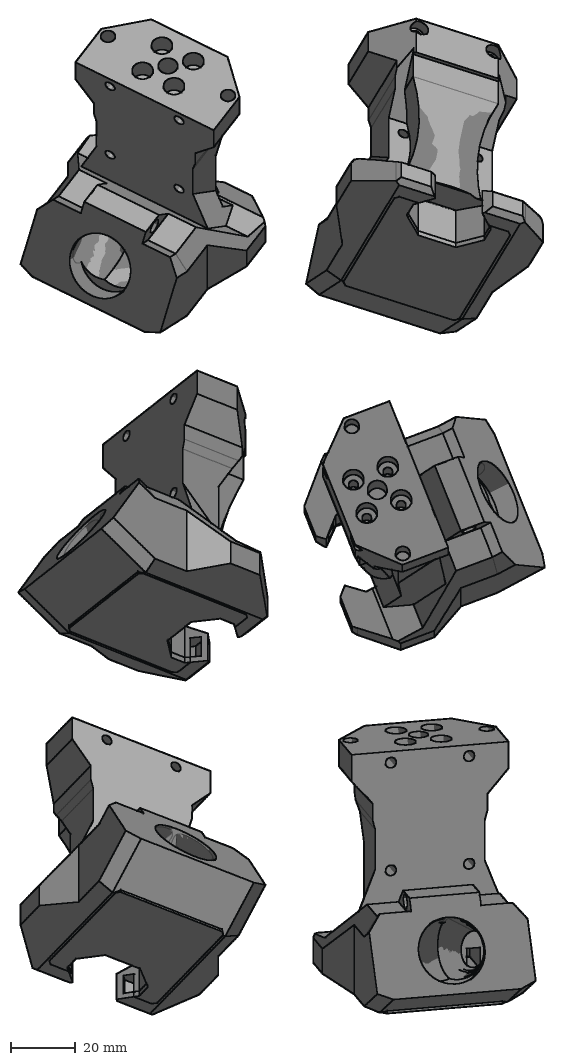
import cadquery as cq
import math

FAR = 158.7

TOTAL_HEIGHT = 79.35
COLUMN_DEPTH = 26.5
HEAD_HALF = 25.15
HEAD_BOTTOM = 70.6
CORNER_CHAMFER = 11.3
COLLAR_HALF = 18.4
COLLAR_TOP = 62.85
COLLAR_BOTTOM = 57.45
NECK_HALF = 17.5
NECK_TOP = 54.3
FLARE_START = 41.35
FLARE_RATE = 0.39
WEB_DEPTH = 13.65
WEB_TOP = 45.55
BACK_CUT_TOP = 67.4
FOOT_TOP = 21.2

SPINE_HALF = 14.45
SPINE_STEP = 64.2
SPINE_BACK = 25.3
WAIST_HEIGHT = 40.5
WAIST_HALF = 10.5
WAIST_FLAT = 21.0
WAIST_BACK = 24.2
SPINE_FOOT_HEIGHT = 14.3
SPINE_FOOT_HALF = 15.9
SPINE_FOOT_FLAT = 12.9
SPINE_FOOT_BACK = 21.9

CLAMP_DIAMETER = 3.4
CLAMP_X = 12.5
CLAMP_HEIGHTS = (40.55, 75.7)
CLAMP_HEAD_DIAMETER = 5.5
CLAMP_HEAD_DEPTH = 3.2
PATTERN_Y = 13.8
SCREW_OFFSET = 5.7
SCREW_DIAMETER = 2.9
SCREW_DEPTH = 14.3
COUNTERBORE_DIAMETER = 6.5
COUNTERBORE_DEPTH = 6.35
CENTRE_DIAMETER = 6.0
CENTRE_DEPTH = 9.5
DOWEL_DIAMETER = 4.5
DOWEL_X = 21.8
DOWEL_DEPTH = 6.35

TILT = math.radians(30)
TILT_RISE = math.tan(TILT)
FOLD_Y = -16.2
EAR_HALF = 11.2
EAR_TOP = 37.0
EAR_FRONT = -17.4
EAR_HOLE_DIAMETER = 4.5
EAR_HOLE_Y = -12.3
EAR_HOLE_Z = 34.3
SHOULDER_Z = 31.5
SLOPE_SUM = 27.4
SEAT_END = 10.7
REAR_TOP_Y = 20.55
REAR_TOP_Z = 15.15
BACK_Y = 30.15
BACK_TOP_Z = 8.5
BACK_CHAMFER = 1.8
BODY_HALF = 25.4
FLANK_END = -4.1
WING_HALF = 32.49
WING_FRONT = 7.45
WING_REAR = 18.65
WING_TOP = 14.3
WING_BOTTOM = 6.1
TOP_BEVEL_HALF = 21.3
BOTTOM_BEVEL_HALF = 20.5
REAR_CORNER_X = 21.9
REAR_CORNER_Y = 28.9
BACK_HALF = 20.55

NOTCH_MOUTH = 10.4
NOTCH_LIP = 7.9
NOTCH_LIP_Y = 27.7
NOTCH_HALF = 13.1
NOTCH_INNER_HALF = 6.35
NOTCH_WING_Y = 17.45
NOTCH_FRONT = 11.1
INLET_DIAMETER = 21.2
INLET_Z = 21.75
INLET_DEPTH = 7.3
BRANCH_DIAMETER = 20.5
BRANCH_RAISE = 0.2
BRANCH_WIDTH = 7.9
BRANCH_TOP = 14.7
BRANCH_BOTTOM = 2.8
CHANNEL_INNER = 14.7
CHANNEL_OUTER = 19.05
CHANNEL_FRONT = 11.1
CHANNEL_BACK = 27.8
CHANNEL_TOP = 9.1
OUTLET_FRONT_Y = 23.8
OUTLET_OVERSHOOT = 0.8

LID_HALF = 19.6
LID_FRONT = -17.7
LID_BACK = 23.8
LID_THICKNESS = 2.0
LID_CHAMFER = 1.2


def mirrored(half):
    """Close a right-hand outline with its mirror image about X = 0."""
    return half + [(-x, v) for x, v in reversed(half)]


def side_prism(points, half_width):
    """Extrude a (Y, Z) outline symmetrically along X."""
    return cq.Workplane("YZ").polyline(points).close().extrude(half_width, both=True)


def front_prism(points, y_start, y_end, rise=0.0):
    """Sweep an (X, Z) outline from y_start to y_end, climbing by rise per unit of Y."""
    path = cq.Vector(0, y_end - y_start, rise * (y_end - y_start))
    wire = cq.Wire.makePolygon([cq.Vector(x, y_start, z) for x, z in points], close=True)
    return cq.Workplane(obj=cq.Solid.extrudeLinear(wire, [], path))


def plan_prism(points, z_start, z_end):
    """Extrude an (X, Y) outline between two heights."""
    return cq.Workplane("XY", origin=(0, 0, z_start)).polyline(points).close().extrude(z_end - z_start)


def both_sides(shape):
    return shape.union(shape.mirror("YZ"))


def front_face_y(z):
    return EAR_FRONT - (EAR_TOP - z) * TILT_RISE


def base_envelope():
    """Side outline at the ear height, over the full width."""
    tip_z = (FOLD_Y - front_face_y(0)) * TILT_RISE / (1 + TILT_RISE**2)
    outline = [
        (FOLD_Y, 0),
        (front_face_y(tip_z), tip_z),
        (EAR_FRONT, EAR_TOP),
        (SLOPE_SUM - EAR_TOP, EAR_TOP),
        (SEAT_END, SLOPE_SUM - SEAT_END),
        (REAR_TOP_Y, REAR_TOP_Z),
        (BACK_Y, BACK_TOP_Z),
        (BACK_Y, BACK_CHAMFER),
        (BACK_Y - BACK_CHAMFER, 0),
    ]
    return side_prism(outline, WING_HALF)


def base_plan():
    outline = [
        (BODY_HALF, -FAR),
        (BODY_HALF, FLANK_END),
        (WING_HALF, WING_FRONT),
        (WING_HALF, WING_REAR),
        (REAR_CORNER_X, REAR_CORNER_Y),
        (BACK_HALF, BACK_Y),
    ]
    return plan_prism(mirrored(outline), 0, TOTAL_HEIGHT)


def base_section():
    """Front outline with the bevels, straight behind the fold and sheared upward ahead of it."""
    outline = mirrored([
        (BOTTOM_BEVEL_HALF, 0),
        (WING_HALF, WING_BOTTOM),
        (WING_HALF, WING_TOP),
        (TOP_BEVEL_HALF, SHOULDER_Z),
    ])
    rear = front_prism(outline, FOLD_Y, BACK_Y)
    front = front_prism(outline, FOLD_Y, front_face_y(0), -TILT_RISE)
    return rear.union(front)


def ear_block():
    return cq.Workplane("XY").box(2 * EAR_HALF, FAR, EAR_TOP, centered=(True, True, False))


def notch():
    outline = [
        (NOTCH_INNER_HALF, NOTCH_FRONT),
        (NOTCH_HALF, NOTCH_WING_Y),
        (NOTCH_HALF, NOTCH_LIP_Y - (NOTCH_HALF - NOTCH_LIP)),
        (NOTCH_LIP, NOTCH_LIP_Y),
        (NOTCH_MOUTH, BACK_Y),
    ]
    return plan_prism(mirrored(outline), 0, TOTAL_HEIGHT)


def inlet_plane():
    return cq.Plane(
        origin=(0, front_face_y(INLET_Z), INLET_Z),
        xDir=(1, 0, 0),
        normal=(0, -math.cos(TILT), math.sin(TILT)),
    )


def air_passages():
    """Round inlet splitting into two channels that blow into the notch from both sides."""
    inlet = cq.Workplane(inlet_plane()).circle(INLET_DIAMETER / 2).extrude(-INLET_DEPTH)
    branch_start = cq.Workplane(inlet_plane()).center(0, BRANCH_RAISE).circle(BRANCH_DIAMETER / 2)
    branch_end = (
        cq.Workplane("XZ", origin=(0, CHANNEL_FRONT, 0))
        .center((CHANNEL_INNER + CHANNEL_OUTER) / 2, (BRANCH_BOTTOM + BRANCH_TOP) / 2)
        .ellipse(BRANCH_WIDTH / 2, (BRANCH_TOP - BRANCH_BOTTOM) / 2)
    )
    branch = cq.Workplane(obj=cq.Solid.makeLoft([branch_start.wires().val(), branch_end.wires().val()], True))
    outlet_sum = NOTCH_LIP + NOTCH_LIP_Y - OUTLET_OVERSHOOT
    outlet_rear_y = (OUTLET_FRONT_Y + CHANNEL_BACK) / 2
    outlet_rear_x = outlet_sum - outlet_rear_y
    channel = plan_prism(
        [
            (CHANNEL_INNER, CHANNEL_FRONT),
            (CHANNEL_OUTER, CHANNEL_FRONT),
            (CHANNEL_OUTER, OUTLET_FRONT_Y),
            (CHANNEL_INNER, CHANNEL_BACK),
            (outlet_rear_x + CHANNEL_BACK - outlet_rear_y, CHANNEL_BACK),
            (outlet_rear_x, outlet_rear_y),
            (outlet_sum - OUTLET_FRONT_Y, OUTLET_FRONT_Y),
            (CHANNEL_INNER, OUTLET_FRONT_Y),
        ],
        LID_THICKNESS,
        CHANNEL_TOP,
    )
    return inlet.union(both_sides(branch)).union(both_sides(channel))


def ear_hole():
    return (
        cq.Workplane("YZ")
        .center(EAR_HOLE_Y, EAR_HOLE_Z)
        .circle(EAR_HOLE_DIAMETER / 2)
        .extrude(BODY_HALF, both=True)
    )


def make_base(lid):
    base = base_envelope().intersect(base_plan()).intersect(base_section().union(ear_block()))
    return base.cut(notch()).cut(air_passages()).cut(ear_hole()).cut(lid)


def make_lid():
    """Flat cover let into the underside of the base; it closes the air channels from below."""
    length = LID_BACK - LID_FRONT
    plate = (
        cq.Workplane("XY")
        .center(0, (LID_FRONT + LID_BACK) / 2)
        .rect(2 * LID_HALF, length)
        .extrude(LID_THICKNESS)
        .edges("|Z")
        .chamfer(LID_CHAMFER)
    )
    return plate.cut(notch())


def column_plan():
    outline = [
        (HEAD_HALF, 0),
        (HEAD_HALF, COLUMN_DEPTH - CORNER_CHAMFER),
        (HEAD_HALF - CORNER_CHAMFER, COLUMN_DEPTH),
    ]
    return plan_prism(mirrored(outline), 0, TOTAL_HEIGHT)


def column_front():
    """Front outline from the wide head down to the neck."""
    outline = [
        (NECK_HALF, 0),
        (NECK_HALF, NECK_TOP),
        (COLLAR_HALF, COLLAR_BOTTOM),
        (COLLAR_HALF, COLLAR_TOP),
        (HEAD_HALF, HEAD_BOTTOM),
        (HEAD_HALF, TOTAL_HEIGHT),
    ]
    return front_prism(mirrored(outline), 0, COLUMN_DEPTH)


def flare():
    """Widening foot whose upper edge drops at 45 degrees toward the back."""
    flare_half = NECK_HALF + FLARE_RATE * FLARE_START
    return front_prism(mirrored([(NECK_HALF, FLARE_START), (flare_half, 0)]), 0, COLUMN_DEPTH, -1)


def back_cut():
    """Side outline of the material removed behind the web."""
    outline = [
        (COLUMN_DEPTH, BACK_CUT_TOP),
        (WEB_DEPTH, WEB_TOP),
        (WEB_DEPTH, FOOT_TOP),
        (WEB_DEPTH + FOOT_TOP, 0),
        (FAR, 0),
        (FAR, BACK_CUT_TOP),
    ]
    return side_prism(outline, FAR)


def rounded_section(height, half_width, flat_y, back_y):
    """Horizontal outline with straight sides and an arc across the back."""
    section = (
        cq.Workplane("XY", origin=(0, 0, height))
        .moveTo(half_width, 0)
        .lineTo(half_width, flat_y)
        .threePointArc((0, back_y), (-half_width, flat_y))
        .lineTo(-half_width, 0)
        .close()
    )
    return section.wires().val()


def spine():
    """Block behind the head, a thinner block below it, then the waist and the flared foot."""
    upper = plan_prism(mirrored([(SPINE_HALF, 0), (SPINE_HALF, COLUMN_DEPTH)]), SPINE_STEP, TOTAL_HEIGHT)
    upper = upper.intersect(column_plan())
    spine_outline = mirrored([(SPINE_HALF, 0), (SPINE_HALF, SPINE_BACK)])
    lower = plan_prism(spine_outline, NECK_TOP, SPINE_STEP).intersect(column_plan())
    top_wire = cq.Workplane("XY", origin=(0, 0, NECK_TOP)).polyline(spine_outline).close().wires().val()
    waist_wire = rounded_section(WAIST_HEIGHT, WAIST_HALF, WAIST_FLAT, WAIST_BACK)
    foot_wire = rounded_section(SPINE_FOOT_HEIGHT, SPINE_FOOT_HALF, SPINE_FOOT_FLAT, SPINE_FOOT_BACK)
    taper = cq.Workplane(obj=cq.Solid.makeLoft([top_wire, waist_wire, foot_wire]))
    return upper.union(lower).union(taper)


def clamp_holes():
    """Two rows of holes through the depth; the upper row is counterbored from the rear."""
    points = [(x, z) for x in (-CLAMP_X, CLAMP_X) for z in CLAMP_HEIGHTS]
    holes = cq.Workplane("XZ").pushPoints(points).circle(CLAMP_DIAMETER / 2).extrude(-COLUMN_DEPTH)
    head_points = [(-CLAMP_X, max(CLAMP_HEIGHTS)), (CLAMP_X, max(CLAMP_HEIGHTS))]
    rear = cq.Workplane("XZ", origin=(0, COLUMN_DEPTH, 0))
    heads = rear.pushPoints(head_points).circle(CLAMP_HEAD_DIAMETER / 2).extrude(CLAMP_HEAD_DEPTH)
    return holes.union(heads)


def top_holes(points, diameter, depth):
    top = cq.Workplane("XY", origin=(0, PATTERN_Y, TOTAL_HEIGHT))
    return top.pushPoints(points).circle(diameter / 2).extrude(-depth)


def make_column():
    column = column_front().union(flare()).intersect(column_plan())
    column = column.cut(back_cut()).union(spine()).cut(base_envelope())
    corners = [(x, y) for x in (-SCREW_OFFSET, SCREW_OFFSET) for y in (-SCREW_OFFSET, SCREW_OFFSET)]
    column = column.cut(clamp_holes())
    column = column.cut(top_holes(corners, SCREW_DIAMETER, SCREW_DEPTH))
    column = column.cut(top_holes(corners, COUNTERBORE_DIAMETER, COUNTERBORE_DEPTH))
    column = column.cut(top_holes([(0, 0)], CENTRE_DIAMETER, CENTRE_DEPTH))
    return column.cut(top_holes([(-DOWEL_X, 0), (DOWEL_X, 0)], DOWEL_DIAMETER, DOWEL_DEPTH))


lid = make_lid()
base = make_base(lid)
column = make_column()

result = cq.Compound.makeCompound([column.val(), base.val(), lid.val()])